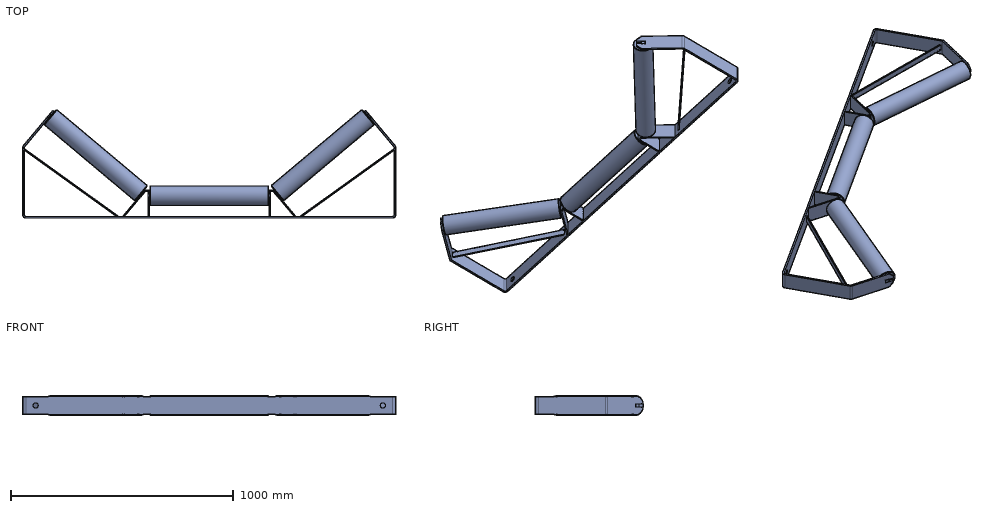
import cadquery as cq
import math

FRAME_LENGTH = 1680.0
STRIP_WIDTH = 80.0
FRAME_THICKNESS = 8.0
CORNER_RADIUS = 15.0
ARM_RADIUS = 15.0
WALL_HEIGHT = 323.0
ARM_TIP_CHAMFER = 22.0
MOUNT_HOLE_DIAMETER = 24.0
MOUNT_HOLE_INSET = 59.0

TROUGH_ANGLE = 40.0
ROLLER_DIAMETER = 89.0
ROLLER_LENGTH = 535.0
ROLLER_CHAMFER = 2.5
ROLLER_GAP = 2.5
SHAFT_DIAMETER = 20.0
SHAFT_FLAT_WIDTH = 15.0
CENTRE_ROLLER_Y = 100.0
ROLLER_ARM_REACH = 181.0
ARM_TIP_REACH = 212.0

BRACKET_THICKNESS = 6.0
BRACKET_TOP = 126.0
BRACE_THICKNESS = 6.0
BRACE_WIDTH = 30.0
BRACE_WALL_Y = 312.0
BRACE_BASE_X = 408.0

PICK_MARGIN = 2.0

HALF_LENGTH = FRAME_LENGTH / 2
SLOPE = math.radians(TROUGH_ANGLE)
ALONG_X, ALONG_Y = math.cos(SLOPE), -math.sin(SLOPE)
RISE_X, RISE_Y = math.sin(SLOPE), math.cos(SLOPE)
SHAFT_REACH = ROLLER_GAP + BRACKET_THICKNESS
SLOT_REACH = ROLLER_GAP + FRAME_THICKNESS


def left_point(along, rise):
    """Point measured from the left outside arm corner, along the roller axis and up the arm."""
    x = -HALF_LENGTH + along * ALONG_X + rise * RISE_X
    y = WALL_HEIGHT + along * ALONG_Y + rise * RISE_Y
    return (x, y)


OUTER_END = FRAME_THICKNESS + ROLLER_GAP
INNER_END = OUTER_END + ROLLER_LENGTH
SIDE_ROLLER_CENTRE = left_point((OUTER_END + INNER_END) / 2, ROLLER_ARM_REACH)
BRACKET_LEG_X = -(ROLLER_LENGTH / 2 + ROLLER_GAP)


def mirrored(body):
    """Right-hand copy of a left-hand body."""
    return body.mirror("YZ")


def strip(points, width):
    """Flat stock standing on edge: a plan outline extruded evenly about Z = 0."""
    return cq.Workplane("XY").workplane(offset=-width / 2).polyline(points).close().extrude(width)


def tilted(body, centre):
    """Turn a body built about the origin to the left roller's slope, then move it to its centre."""
    return body.rotate((0, 0, 0), (0, 0, 1), -TROUGH_ANGLE).translate((centre[0], centre[1], 0))


def round_bar(diameter, length):
    """Round bar along X, centred on the origin."""
    return cq.Workplane("YZ").workplane(offset=-length / 2).circle(diameter / 2).extrude(length)


def make_shaft():
    """Shaft along X, its two flats facing up and down."""
    length = ROLLER_LENGTH + 2 * SHAFT_REACH
    flats = cq.Workplane("XY").box(length, SHAFT_DIAMETER, SHAFT_FLAT_WIDTH)
    return round_bar(SHAFT_DIAMETER, length).intersect(flats)


def make_roller():
    """Roller along X, centred on the origin, with its flatted shaft ends."""
    shell = round_bar(ROLLER_DIAMETER, ROLLER_LENGTH).faces("<X or >X").chamfer(ROLLER_CHAMFER)
    return shell.union(make_shaft())


def make_slot_cutter():
    """Open-topped slot for both supports of a roller; its floor touches the shaft."""
    length = ROLLER_LENGTH + 2 * SLOT_REACH
    height = SHAFT_DIAMETER / 2 + ROLLER_DIAMETER
    cutter = cq.Workplane("XY").box(length, height, SHAFT_FLAT_WIDTH)
    return cutter.translate((0, (height - SHAFT_DIAMETER) / 2, 0))


centre_slot = make_slot_cutter().translate((0, CENTRE_ROLLER_Y, 0))
side_slot = tilted(make_slot_cutter(), SIDE_ROLLER_CENTRE)


def make_frame():
    """Base, walls and slotted arms as one bent strip."""
    inner_x = -HALF_LENGTH + FRAME_THICKNESS
    inner_corner_y = WALL_HEIGHT - FRAME_THICKNESS * math.tan(math.pi / 4 - SLOPE / 2)
    half = strip([
        (0, 0),
        (-HALF_LENGTH, 0),
        (-HALF_LENGTH, WALL_HEIGHT),
        left_point(0, ARM_TIP_REACH),
        left_point(FRAME_THICKNESS, ARM_TIP_REACH),
        (inner_x, inner_corner_y),
        (inner_x, FRAME_THICKNESS),
        (0, FRAME_THICKNESS),
    ], STRIP_WIDTH)

    def edges_near(body, x, y, z):
        """Edges whose centre lies next to the given point."""
        low = (x - PICK_MARGIN, y - PICK_MARGIN, z - PICK_MARGIN)
        high = (x + PICK_MARGIN, y + PICK_MARGIN, z + PICK_MARGIN)
        return body.edges(cq.selectors.BoxSelector(low, high))

    def bend(body, outside, inside, radius):
        """Round both corners of a bend so that the strip keeps its thickness."""
        for (x, y), size in ((outside, radius), (inside, radius - FRAME_THICKNESS)):
            body = edges_near(body, x, y, 0).fillet(size)
        return body

    half = bend(half, (-HALF_LENGTH, 0), (inner_x, FRAME_THICKNESS), CORNER_RADIUS)
    half = bend(half, (-HALF_LENGTH, WALL_HEIGHT), (inner_x, inner_corner_y), ARM_RADIUS)

    tip_x, tip_y = left_point(FRAME_THICKNESS / 2, ARM_TIP_REACH)
    for side in (-1, 1):
        z = side * STRIP_WIDTH / 2
        half = edges_near(half, tip_x, tip_y, z).chamfer(ARM_TIP_CHAMFER)

    half = half.cut(side_slot)

    hole_x = -HALF_LENGTH + MOUNT_HOLE_INSET
    hole = cq.Workplane("XZ").center(hole_x, 0).circle(MOUNT_HOLE_DIAMETER / 2).extrude(-FRAME_THICKNESS)
    half = half.cut(hole)
    return half.union(mirrored(half))


def make_left_bracket():
    """Bent strip on the base: a sloping leg, a short level top and an upright leg."""
    def slope_x(offset, y):
        """X of the sloping leg's face at height y, offset from the inner end of the roller."""
        x, start_y = left_point(INNER_END + offset, 0)
        return x + (y - start_y) * math.tan(SLOPE)

    near = ROLLER_GAP
    far = ROLLER_GAP + BRACKET_THICKNESS
    under_top = BRACKET_TOP - BRACKET_THICKNESS
    leg_back_x = BRACKET_LEG_X - BRACKET_THICKNESS
    bracket = strip([
        (slope_x(near, FRAME_THICKNESS), FRAME_THICKNESS),
        (slope_x(near, BRACKET_TOP), BRACKET_TOP),
        (BRACKET_LEG_X, BRACKET_TOP),
        (BRACKET_LEG_X, FRAME_THICKNESS),
        (leg_back_x, FRAME_THICKNESS),
        (leg_back_x, under_top),
        (slope_x(far, under_top), under_top),
        (slope_x(far, FRAME_THICKNESS), FRAME_THICKNESS),
    ], STRIP_WIDTH)
    return bracket.cut(side_slot).cut(centre_slot)


def make_left_brace():
    """Flat bar from the side wall down to the base, its ends cut to lie against both."""
    wall_x = -HALF_LENGTH + FRAME_THICKNESS
    run = -BRACE_BASE_X - wall_x
    drop = BRACE_WALL_Y - FRAME_THICKNESS
    length = math.hypot(run, drop)
    return strip([
        (wall_x, BRACE_WALL_Y),
        (-BRACE_BASE_X, FRAME_THICKNESS),
        (-BRACE_BASE_X - BRACE_THICKNESS * length / drop, FRAME_THICKNESS),
        (wall_x, BRACE_WALL_Y - BRACE_THICKNESS * length / run),
    ], BRACE_WIDTH)


frame = make_frame()
left_bracket = make_left_bracket()
left_brace = make_left_brace()
left_roller = tilted(make_roller(), SIDE_ROLLER_CENTRE)
centre_roller = make_roller().translate((0, CENTRE_ROLLER_Y, 0))

bodies = [frame.val(), centre_roller.val()]
for left_body in (left_bracket, left_brace, left_roller):
    bodies.append(left_body.val())
    bodies.append(mirrored(left_body).val())

result = cq.Compound.makeCompound(bodies)